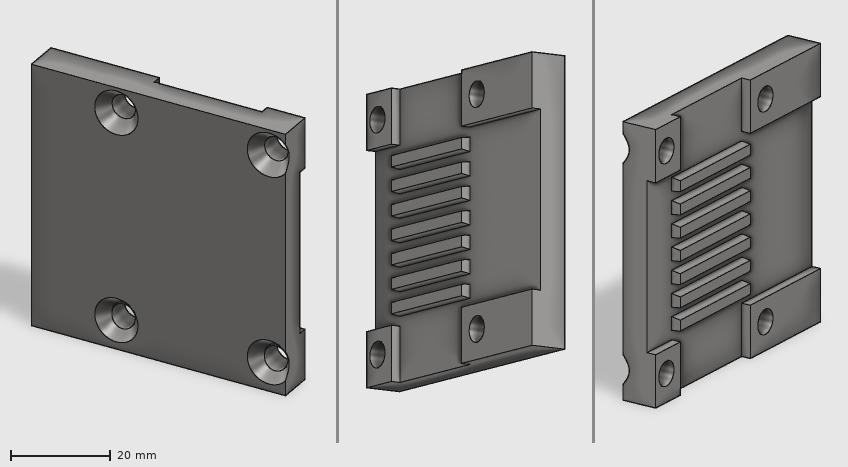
import cadquery as cq

width = 59.0
thickness = 8.0
height = 60.0

channel_depth = 2.1
cross_channel_height = 37.0
belt_channel_width = 25.0
belt_channel_left = 25.15

tooth_count = 7
tooth_pitch = cross_channel_height / (tooth_count + 0.4)
tooth_tip = 2.35
tooth_root = 2.95

hole_diameter = 5.4
sink_diameter = 10.0
sink_depth = 3.0
hole_left = 19.75
hole_spacing_x = 35.4
hole_top_margin = 5.75
hole_spacing_z = 48.0
lower_sink_rise = 0.4

mid_z = height / 2
channel_floor = thickness - channel_depth


def box_at(x, y, z, size_x, size_y, size_z):
    """Box whose lowest corner is at (x, y, z)."""
    return cq.Workplane("XY").box(size_x, size_y, size_z, centered=False).translate((x, y, z))


def belt_tooth(center_z):
    """Tapered tooth standing on the channel floor and spanning the belt channel."""
    profile = [
        (channel_floor, center_z - tooth_root / 2),
        (thickness, center_z - tooth_tip / 2),
        (thickness, center_z + tooth_tip / 2),
        (channel_floor, center_z + tooth_root / 2),
    ]
    tooth = cq.Workplane("YZ").polyline(profile).close().extrude(belt_channel_width)
    return tooth.translate((belt_channel_left, 0, 0))


def countersink(x, z):
    """Cone opening at the front face and narrowing to the hole diameter."""
    profile = [
        (0, 0),
        (sink_diameter / 2, 0),
        (hole_diameter / 2, sink_depth),
        (0, sink_depth),
    ]
    cutter = cq.Workplane("XY").polyline(profile).close().revolve(360, (0, 0), (0, 1))
    return cutter.translate((x, 0, z))


def through_hole(x, z):
    """Cylinder along Y through the whole plate."""
    return cq.Workplane("XZ").circle(hole_diameter / 2).extrude(-thickness).translate((x, 0, z))


result = box_at(0, 0, 0, width, thickness, height)

cross_channel_bottom = mid_z - cross_channel_height / 2
result = result.cut(
    box_at(0, channel_floor, cross_channel_bottom, width, channel_depth, cross_channel_height)
)
result = result.cut(
    box_at(belt_channel_left, channel_floor, 0, belt_channel_width, channel_depth, height)
)

for index in range(tooth_count):
    offset = (index - (tooth_count - 1) / 2) * tooth_pitch
    result = result.union(belt_tooth(mid_z + offset))

hole_top = height - hole_top_margin
hole_bottom = hole_top - hole_spacing_z
for x in (hole_left, hole_left + hole_spacing_x):
    for z, sink_rise in ((hole_top, 0), (hole_bottom, lower_sink_rise)):
        result = result.cut(through_hole(x, z))
        result = result.cut(countersink(x, z + sink_rise))